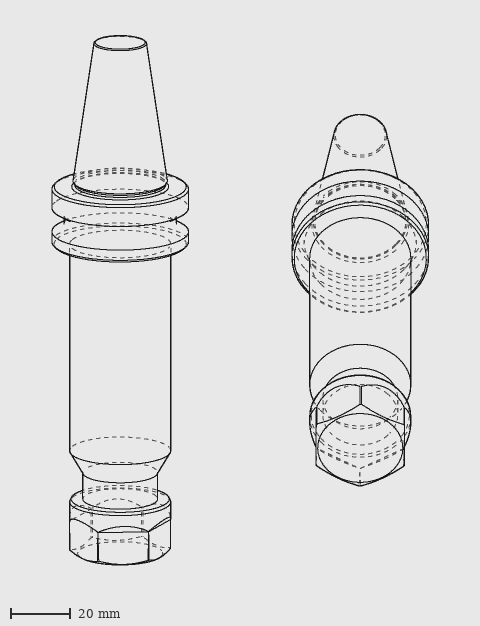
import cadquery as cq
import math


GAUGE_DIAMETER = 31.75
TAPER_LENGTH = 48.4
TAPER_RATIO = 7 / 24
TAPER_END_CHAMFER = 0.4

RELIEF_DIAMETER = 30.6
RELIEF_TOP_CHAMFER_HEIGHT = 0.7
RELIEF_FOOT_DIAMETER = 32.6
RELIEF_FOOT_HEIGHT = 0.6

FLANGE_DIAMETER = 45.98
FLANGE_TOP_Z = -2.0
FLANGE_BOTTOM_Z = -22.0
FLANGE_CHAMFER = 0.8
GROOVE_ROOT_DIAMETER = 37.75
GROOVE_CENTRE_Z = -13.5
GROOVE_ROOT_WIDTH = 3.5
GROOVE_ROOT_FILLET = 0.5
GROOVE_FLANK_ANGLE = 30.0

BODY_DIAMETER = 34.0
BODY_END_Z = -94.2
NECK_DIAMETER = 25.2
NECK_START_Z = -101.8

NUT_DIAMETER = 34.0
NUT_TOP_Z = -111.0
NUT_TOP_CHAMFER_RADIAL = 0.5
NUT_TOP_CHAMFER_HEIGHT = 1.0
NUT_BOTTOM_Z = -130.0
NUT_BOTTOM_DIAMETER = 28.6
NUT_BOTTOM_CHAMFER_ANGLE = 30.0
HEX_ACROSS_FLATS = 29.7
HEX_TOP_Z = -118.2
HEX_RAMP_FILLET = 0.6
HEX_RAMP_ANGLE = 42.0


def revolve_profile(points):
    """Revolve an (radius, z) outline about the Z axis."""
    return cq.Workplane("XZ").polyline(points).close().revolve(360, (0, 0, 0), (0, 1, 0))


def make_holder():
    """Taper shank, grooved flange, body and neck as one turned solid."""
    gauge_radius = GAUGE_DIAMETER / 2
    taper_end_radius = (GAUGE_DIAMETER - TAPER_LENGTH * TAPER_RATIO) / 2
    chamfer_radius = taper_end_radius + TAPER_END_CHAMFER * TAPER_RATIO / 2
    relief_radius = RELIEF_DIAMETER / 2
    relief_foot_radius = RELIEF_FOOT_DIAMETER / 2
    flange_radius = FLANGE_DIAMETER / 2
    flange_face_radius = flange_radius - FLANGE_CHAMFER
    root_radius = GROOVE_ROOT_DIAMETER / 2
    body_radius = BODY_DIAMETER / 2
    neck_radius = NECK_DIAMETER / 2

    flank_height = (flange_radius - root_radius) * math.tan(math.radians(GROOVE_FLANK_ANGLE))
    root_half_width = GROOVE_ROOT_WIDTH / 2
    mouth_half_width = root_half_width + flank_height

    holder = revolve_profile([
        (0, TAPER_LENGTH),
        (taper_end_radius - TAPER_END_CHAMFER, TAPER_LENGTH),
        (chamfer_radius, TAPER_LENGTH - TAPER_END_CHAMFER),
        (gauge_radius, 0),
        (relief_radius, -RELIEF_TOP_CHAMFER_HEIGHT),
        (relief_radius, FLANGE_TOP_Z + RELIEF_FOOT_HEIGHT),
        (relief_foot_radius, FLANGE_TOP_Z),
        (flange_face_radius, FLANGE_TOP_Z),
        (flange_radius, FLANGE_TOP_Z - FLANGE_CHAMFER),
        (flange_radius, GROOVE_CENTRE_Z + mouth_half_width),
        (root_radius, GROOVE_CENTRE_Z + root_half_width),
        (root_radius, GROOVE_CENTRE_Z - root_half_width),
        (flange_radius, GROOVE_CENTRE_Z - mouth_half_width),
        (flange_radius, FLANGE_BOTTOM_Z + FLANGE_CHAMFER),
        (flange_face_radius, FLANGE_BOTTOM_Z),
        (body_radius, FLANGE_BOTTOM_Z),
        (body_radius, BODY_END_Z),
        (neck_radius, NECK_START_Z),
        (neck_radius, NUT_TOP_Z),
        (0, NUT_TOP_Z),
    ])
    groove_root_edges = cq.selectors.BoxSelector(
        (-flange_radius, -flange_radius, GROOVE_CENTRE_Z - GROOVE_ROOT_WIDTH),
        (flange_radius, flange_radius, GROOVE_CENTRE_Z + GROOVE_ROOT_WIDTH),
    )
    root_circles = holder.edges("%CIRCLE").edges(groove_root_edges)
    return root_circles.fillet(GROOVE_ROOT_FILLET)


def make_nut_blank():
    """Round nut with a chamfered top rim and a conical lower end."""
    nut_radius = NUT_DIAMETER / 2
    bottom_radius = NUT_BOTTOM_DIAMETER / 2
    chamfer_angle = math.radians(NUT_BOTTOM_CHAMFER_ANGLE)
    bottom_chamfer_height = (nut_radius - bottom_radius) * math.tan(chamfer_angle)

    return revolve_profile([
        (0, NUT_TOP_Z),
        (nut_radius - NUT_TOP_CHAMFER_RADIAL, NUT_TOP_Z),
        (nut_radius, NUT_TOP_Z - NUT_TOP_CHAMFER_HEIGHT),
        (nut_radius, NUT_BOTTOM_Z + bottom_chamfer_height),
        (bottom_radius, NUT_BOTTOM_Z),
        (0, NUT_BOTTOM_Z),
    ])


def make_hex_envelope():
    """Hexagonal prism that flares outward above the flats, corners on the X axis."""
    across_corners = HEX_ACROSS_FLATS / math.cos(math.radians(30))
    prism = (
        cq.Workplane("XY")
        .workplane(offset=NUT_BOTTOM_Z)
        .polygon(6, across_corners)
        .extrude(HEX_TOP_Z - NUT_BOTTOM_Z)
    )
    flare = (
        cq.Workplane("XY")
        .workplane(offset=HEX_TOP_Z)
        .polygon(6, across_corners)
        .extrude(NUT_TOP_Z - HEX_TOP_Z, taper=-HEX_RAMP_ANGLE)
    )
    envelope = prism.union(flare)
    ramp_foot_edges = cq.selectors.BoxSelector(
        (-across_corners, -across_corners, HEX_TOP_Z - HEX_RAMP_FILLET),
        (across_corners, across_corners, HEX_TOP_Z + HEX_RAMP_FILLET),
    )
    return envelope.edges(ramp_foot_edges).fillet(HEX_RAMP_FILLET)


nut = make_nut_blank().intersect(make_hex_envelope())
result = make_holder().union(nut)